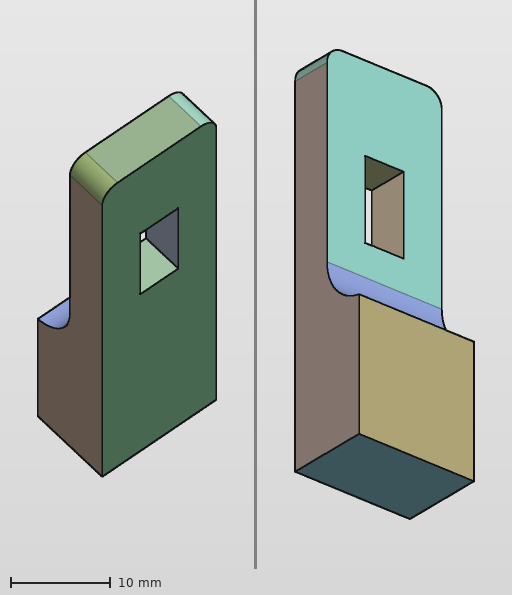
import cadquery as cq
import math

height = 47.0
base_depth = 10.0
width = 15.0

plate_thickness = base_depth / 2
base_height = 16.07
cove_radius = 6.0
corner_radius = 2.0

window_width = 5.0
window_height = 10.0
window_bottom = 26.0

front_x = -base_depth / 2
back_x = base_depth / 2
plate_x = back_x - plate_thickness

cove_center_x = plate_x - cove_radius
start_angle = -math.acos((front_x - cove_center_x) / cove_radius)
cove_center_z = base_height - cove_radius * math.sin(start_angle)
middle_angle = start_angle / 2
cove_middle = (
    cove_center_x + cove_radius * math.cos(middle_angle),
    cove_center_z + cove_radius * math.sin(middle_angle),
)


def make_body():
    """Extrude the stepped side profile and round the top corners of the plate."""
    profile = (
        cq.Workplane("XZ")
        .moveTo(front_x, 0)
        .lineTo(front_x, base_height)
        .threePointArc(cove_middle, (plate_x, cove_center_z))
        .lineTo(plate_x, height)
        .lineTo(back_x, height)
        .lineTo(back_x, 0)
        .close()
    )
    body = profile.extrude(width / 2, both=True)
    return body.faces(">Z").edges("|X").fillet(corner_radius)


def make_window():
    """Block that cuts the window through the full depth along X."""
    return cq.Workplane("XY").box(
        base_depth, window_width, window_height, centered=(True, True, False)
    ).translate((0, 0, window_bottom))


result = make_body().cut(make_window())